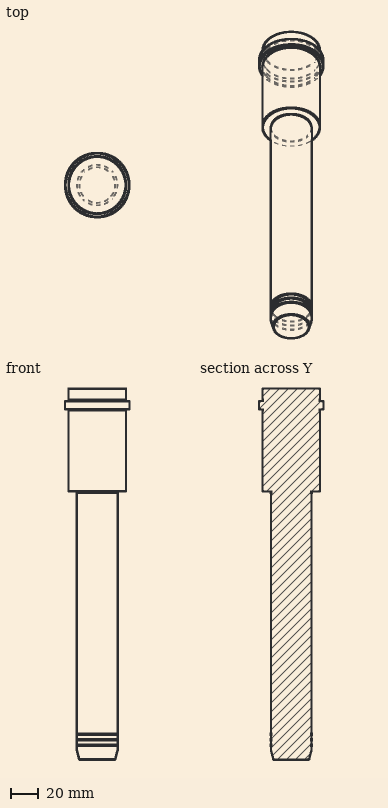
import cadquery as cq

total_length = 270
head_length = 75.0
head_diameter = 42.0
shaft_diameter = 30.0

edge_chamfer = 0.5
relief_depth = 0.3
oil_groove_depth = 0.5

collar_radius = 23.5
collar_top_depth = 9.2
collar_thickness = 6.2
gap_above_collar = 1.0
gap_below_collar = 0.8

neck_length = 1.0

tip_length = 7.3
tip_radius = 13.2

groove_count = 3
groove_pitch = 4.0
lowest_groove_height = 10.5

head_radius = head_diameter / 2
shaft_radius = shaft_diameter / 2
head_bottom = total_length - head_length
collar_top = total_length - collar_top_depth
collar_bottom = collar_top - collar_thickness


def cylinder(radius, bottom, height):
    """Solid cylinder on the Z axis."""
    return cq.Workplane("XY").workplane(offset=bottom).circle(radius).extrude(height)


def chamfered_cylinder(radius, bottom, height):
    """Cylinder with both rims broken by the same small chamfer."""
    return cylinder(radius, bottom, height).faces("<Z or >Z").edges().chamfer(edge_chamfer)


def revolve_profile(points):
    """Full turn about Z of a closed (radius, height) outline."""
    return cq.Workplane("XZ").polyline(points).close().revolve(360, (0, 0, 0), (0, 1, 0))


def recess_cutter(radius, bottom, top):
    """Ring cutter of the relief depth with 45 degree lips at both ends."""
    floor_radius = radius - relief_depth
    return revolve_profile([
        (radius, bottom),
        (floor_radius, bottom + relief_depth),
        (floor_radius, top - relief_depth),
        (radius, top),
    ])


def neck_cutter():
    """Ring cutter below the head: flat against the head, 45 degree lip on the shaft."""
    floor_radius = shaft_radius - relief_depth
    bottom = head_bottom - neck_length
    return revolve_profile([
        (shaft_radius, bottom),
        (floor_radius, bottom + relief_depth),
        (floor_radius, head_bottom),
        (shaft_radius, head_bottom),
    ])


def oil_groove(height):
    """V-section ring cutter centred at the given height."""
    return revolve_profile([
        (shaft_radius, height - oil_groove_depth),
        (shaft_radius - oil_groove_depth, height),
        (shaft_radius, height + oil_groove_depth),
    ])


def shaft():
    """Shaft with tapered tip, oil grooves and relief neck."""
    body = revolve_profile([
        (0, 0),
        (tip_radius - edge_chamfer, 0),
        (tip_radius, edge_chamfer),
        (shaft_radius, tip_length),
        (shaft_radius, head_bottom),
        (0, head_bottom),
    ])
    for index in range(groove_count):
        body = body.cut(oil_groove(lowest_groove_height + index * groove_pitch))
    return body.cut(neck_cutter())


def head():
    """Chamfered head carrying the collar in its recess."""
    body = chamfered_cylinder(head_radius, head_bottom, head_length)
    recess = recess_cutter(head_radius, collar_bottom - gap_below_collar, collar_top + gap_above_collar)
    collar = chamfered_cylinder(collar_radius, collar_bottom, collar_thickness)
    return body.cut(recess).union(collar)


result = shaft().union(head())